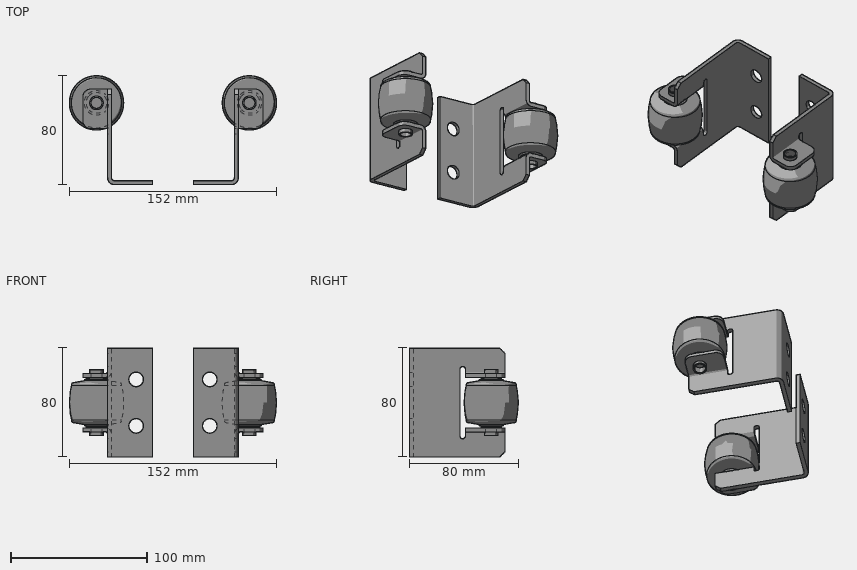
import cadquery as cq
import math


total_length = 152.0
bracket_height = 80.0
roller_diameter = 40.0
roller_radius = roller_diameter / 2
total_depth = 80.0
flange_gap = 30.0
roller_x = -(total_length / 2 - roller_radius)
roller_y = total_depth - roller_radius

sheet = 3.0
flange_length = 33.0
web_depth = 70.0
corner_inner_radius = 2.0
corner_outer_radius = corner_inner_radius + sheet
corner_chamfer = 4.0
flange_end_x = -flange_gap / 2
web_outer_x = flange_end_x - flange_length
web_inner_x = web_outer_x + sheet

mount_hole_diameter = 10.5
mount_hole_spacing = 34.0
mount_hole_offset = 21.0

slot_width = 4.0
slot_height = 52.7
slot_front_y = 37.1
tab_start_y = slot_front_y + slot_width

tab_outer_z = 21.5
tab_inner_z = tab_outer_z - sheet
tab_overhang = 10.0
tab_end_x = roller_x - tab_overhang
tab_corner_radius = 6.0
fold_inner_radius = 1.5
fold_outer_radius = fold_inner_radius + sheet
fold_center_x = web_outer_x - fold_inner_radius
fold_center_z = tab_outer_z + fold_inner_radius

axle_diameter = 10.0
axle_bore_diameter = 8.0
axle_half_length = 24.2
axle_bore_depth = axle_half_length - tab_inner_z

crown_radius = 50.2
tread_half_height = 12.6
rim_radius = 16.7
rim_z = 14.7
rim_bulge = 0.5
hub_radius = 9.0
hub_base_z = 16.1
hub_edge_radius = 0.99
hub_top_z = hub_base_z + hub_edge_radius
neck_radius = 7.6
neck_z = 18.0


def crown_at(z):
    """Tread radius of the roller at height z."""
    return roller_radius - crown_radius + math.sqrt(crown_radius**2 - z**2)


def make_angle_sheet():
    """L-shaped sheet: web along Y, flange along X, joined by a round bend."""
    angle = (
        cq.Workplane("XY")
        .workplane(offset=-bracket_height / 2)
        .moveTo(web_outer_x, web_depth)
        .lineTo(web_outer_x, 0)
        .lineTo(flange_end_x, 0)
        .lineTo(flange_end_x, sheet)
        .lineTo(web_inner_x, sheet)
        .lineTo(web_inner_x, web_depth)
        .close()
        .extrude(bracket_height)
    )
    outer_corner = cq.selectors.NearestToPointSelector((web_outer_x, 0, 0))
    inner_corner = cq.selectors.NearestToPointSelector((web_inner_x, sheet, 0))
    angle = angle.edges(outer_corner).fillet(corner_outer_radius)
    angle = angle.edges(inner_corner).fillet(corner_inner_radius)
    return angle.faces(">Y").edges("|X").chamfer(corner_chamfer)


def make_mount_holes():
    """Cutters for the two holes through the flange."""
    return (
        cq.Workplane("XZ")
        .center(web_outer_x + mount_hole_offset, 0)
        .rarray(1.5, mount_hole_spacing, 1, 2)
        .circle(mount_hole_diameter / 2)
        .extrude(-sheet)
    )


def make_web_opening():
    """Cutter for the relief slot and the window left by the folded tabs."""
    slot = (
        cq.Workplane("YZ")
        .workplane(offset=web_outer_x)
        .center(slot_front_y + slot_width / 2, 0)
        .slot2D(slot_height, slot_width, 90)
        .extrude(sheet)
    )
    window_depth = web_depth - tab_start_y
    window = (
        cq.Workplane("XY")
        .box(sheet, window_depth, 2 * fold_center_z, centered=(False, False, True))
        .translate((web_outer_x, tab_start_y, 0))
    )
    return slot.union(window)


def make_upper_tab():
    """Upper tab with its fold, continuing the web sheet."""
    tab_width = web_depth - tab_start_y
    diagonal = math.sqrt(0.5)
    tab = (
        cq.Workplane("XZ", origin=(0, tab_start_y, 0))
        .moveTo(tab_end_x, tab_inner_z)
        .lineTo(fold_center_x, tab_inner_z)
        .threePointArc(
            (fold_center_x + fold_outer_radius * diagonal, fold_center_z - fold_outer_radius * diagonal),
            (web_inner_x, fold_center_z),
        )
        .lineTo(web_outer_x, fold_center_z)
        .threePointArc(
            (fold_center_x + fold_inner_radius * diagonal, fold_center_z - fold_inner_radius * diagonal),
            (fold_center_x, tab_outer_z),
        )
        .lineTo(tab_end_x, tab_outer_z)
        .close()
        .extrude(-tab_width)
    )
    return tab.faces("<X").edges("|Z").fillet(tab_corner_radius)


def make_bracket():
    """Complete sheet bracket with both tabs."""
    bracket = make_angle_sheet().cut(make_mount_holes()).cut(make_web_opening())
    upper_tab = make_upper_tab()
    return bracket.union(upper_tab).union(upper_tab.mirror("XY"))


def make_roller():
    """Crowned roller with a raised hub and neck on each end."""
    tread_edge_radius = crown_at(tread_half_height)
    shoulder_mid = (
        (tread_edge_radius + rim_radius) / 2 + rim_bulge,
        (tread_half_height + rim_z) / 2 + rim_bulge,
    )
    hub_top_radius = hub_radius - hub_edge_radius
    hub_edge_mid = (
        hub_top_radius + hub_edge_radius * math.sqrt(0.5),
        hub_base_z + hub_edge_radius * math.sqrt(0.5),
    )
    upper_half = (
        cq.Workplane("XZ")
        .moveTo(0, 0)
        .lineTo(roller_radius, 0)
        .threePointArc(
            (crown_at(tread_half_height / 2), tread_half_height / 2),
            (tread_edge_radius, tread_half_height),
        )
        .threePointArc(shoulder_mid, (rim_radius, rim_z))
        .lineTo(hub_radius, hub_base_z)
        .threePointArc(hub_edge_mid, (hub_top_radius, hub_top_z))
        .lineTo(neck_radius, hub_top_z)
        .lineTo(neck_radius, neck_z)
        .lineTo(0, neck_z)
        .close()
        .revolve(360, (0, 0, 0), (0, 1, 0))
    )
    roller = upper_half.union(upper_half.mirror("XY"))
    return roller.translate((roller_x, roller_y, 0))


def make_axle():
    """Axle through roller and tabs."""
    return (
        cq.Workplane("XY", origin=(roller_x, roller_y, -axle_half_length))
        .circle(axle_diameter / 2)
        .extrude(2 * axle_half_length)
    )


def make_upper_axle_bore():
    """Cutter for the blind bore in the upper end of the axle."""
    return (
        cq.Workplane("XY", origin=(roller_x, roller_y, axle_half_length))
        .circle(axle_bore_diameter / 2)
        .extrude(-axle_bore_depth)
    )


def make_roller_unit():
    """Left unit: bracket, roller and axle as one solid."""
    upper_bore = make_upper_axle_bore()
    unit = make_bracket().union(make_axle()).union(make_roller())
    return unit.cut(upper_bore).cut(upper_bore.mirror("XY"))


left_unit = make_roller_unit()
right_unit = left_unit.mirror("YZ")

result = cq.Compound.makeCompound([left_unit.val(), right_unit.val()])